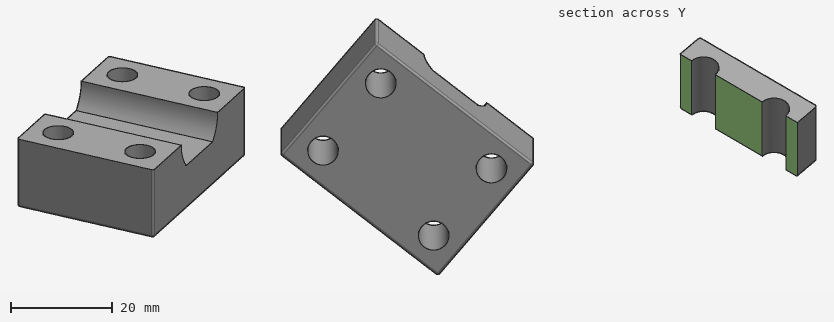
import cadquery as cq

width = 30.0
length = 40.0
height = 15.0
edge_radius = 0.5

saddle_radius = 7.9
saddle_depth = 5.5

hole_diameter = 6.0
hole_spacing_x = 18.0
hole_spacing_y = 28.0


def make_block():
    """Block with rounded vertical and bottom edges and a sharp top rim."""
    block = cq.Workplane("XY").box(width, length, height, centered=(True, True, False))
    return block.edges("|Z or <Z").fillet(edge_radius)


def make_saddle():
    """Cylinder about the top face centreline, cut off flat at the saddle floor."""
    cylinder = (
        cq.Workplane("YZ", origin=(0, 0, height))
        .circle(saddle_radius)
        .extrude(width, both=True)
    )
    above_floor = (
        cq.Workplane("XY", origin=(0, 0, height - saddle_depth))
        .box(2 * width, length, height, centered=(True, True, False))
    )
    return cylinder.intersect(above_floor)


def make_holes():
    """Four through holes on a rectangular pattern."""
    return (
        cq.Workplane("XY")
        .rect(hole_spacing_x, hole_spacing_y, forConstruction=True)
        .vertices()
        .circle(hole_diameter / 2)
        .extrude(height)
    )


result = make_block().cut(make_saddle()).cut(make_holes())